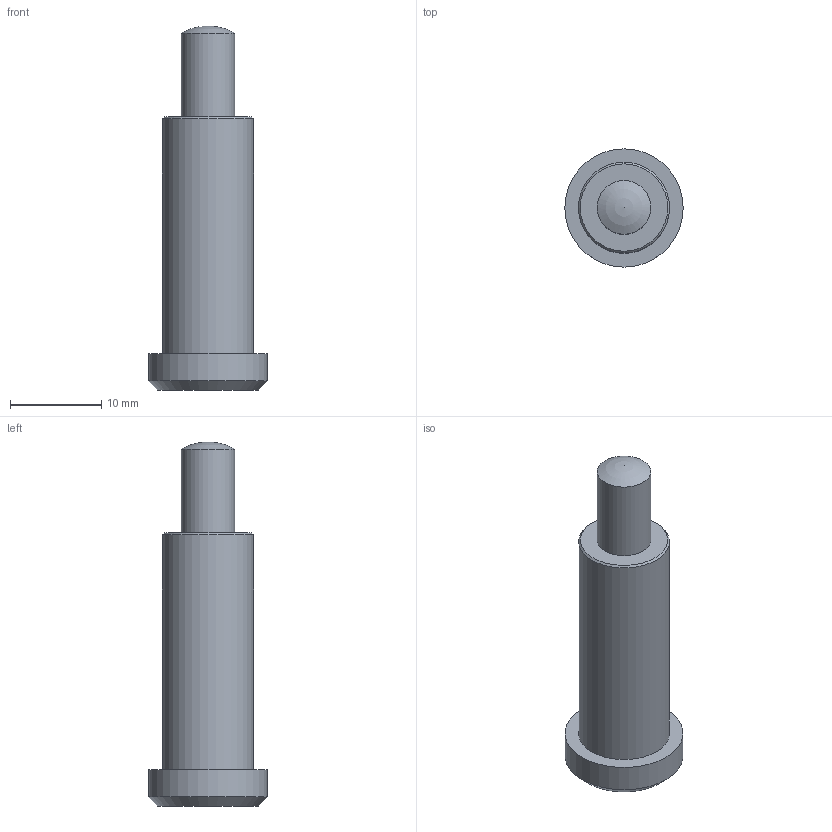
import cadquery as cq
import math

total_height = 40.0
head_diameter = 13.0
head_height = 4.0
head_chamfer = 1.0
body_diameter = 10.0
body_top = 30.0
body_chamfer = 0.2
pin_diameter = 5.9
dome_radius = 6.0

head_radius = head_diameter / 2
body_radius = body_diameter / 2
pin_radius = pin_diameter / 2


def dome_drop(radius):
    """Distance from the tip of the dome down to its surface at a given radius."""
    return dome_radius - math.sqrt(dome_radius**2 - radius**2)


def make_profile():
    """Half section of the stepped pin, with the radius along X and the height along Y."""
    dome_middle = (pin_radius / 2, total_height - dome_drop(pin_radius / 2))
    return (
        cq.Workplane("XZ")
        .moveTo(0, 0)
        .lineTo(head_radius - head_chamfer, 0)
        .lineTo(head_radius, head_chamfer)
        .lineTo(head_radius, head_height)
        .lineTo(body_radius, head_height)
        .lineTo(body_radius, body_top - body_chamfer)
        .lineTo(body_radius - body_chamfer, body_top)
        .lineTo(pin_radius, body_top)
        .lineTo(pin_radius, total_height - dome_drop(pin_radius))
        .threePointArc(dome_middle, (0, total_height))
        .close()
    )


result = make_profile().revolve(360, (0, 0), (0, 1))